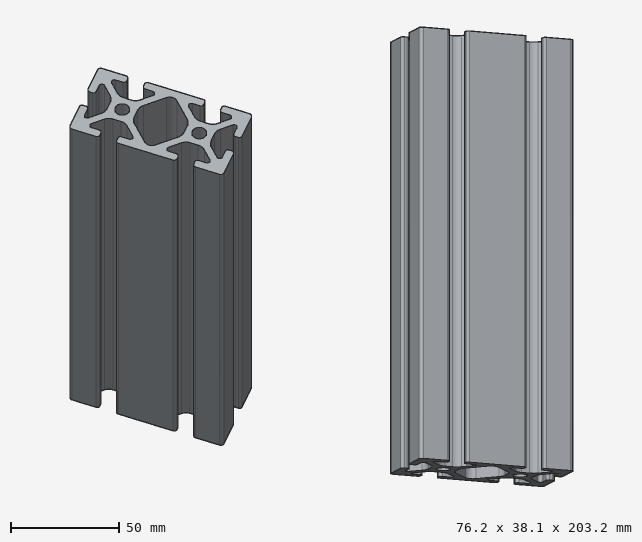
import cadquery as cq
import math

LENGTH = 203.2
WIDTH = 76.2
CELL = WIDTH / 2
HALF_CELL = CELL / 2

SLOT_OPENING = 8.3
LIP_THICKNESS = 4.0
CORE_HALF = 6.7
WEB_THICKNESS = 3.7
BORE_DIAMETER = 6.7

OUTER_RADIUS = 1.6
LIP_RADIUS = 1.32
SLOT_END_RADIUS = 1.32
CORE_RADIUS = 5.3
VOID_END_RADIUS = 3.7

MOUTH_OVERHANG = 4.0

WEB_OFFSET = WEB_THICKNESS / 2 * math.sqrt(2)
LIP_BACK = HALF_CELL - LIP_THICKNESS
CELL_CENTERS_X = (-HALF_CELL, HALF_CELL)


def round_edges(solid, half_x, y, radius):
    """Round the two upright edges of a solid at (-half_x, y) and (half_x, y)."""
    margin = 0.02
    for x in (-half_x, half_x):
        near_edge = cq.selectors.BoxSelector(
            (x - margin, y - margin, 0), (x + margin, y + margin, LENGTH)
        )
        solid = solid.edges("|Z").edges(near_edge).fillet(radius)
    return solid


def make_bar():
    bar = cq.Workplane("XY").rect(WIDTH, CELL).extrude(LENGTH)
    return bar.edges("|Z").fillet(OUTER_RADIUS)


def make_slot():
    """Cutter for one T-slot that opens towards +Y, with its cell centre at the origin.

    It flares outside the bar, so that rounding its edges also rounds the lips.
    """
    floor_half = CORE_HALF - WEB_OFFSET
    pocket_half = LIP_BACK - WEB_OFFSET
    mouth_half = SLOT_OPENING / 2
    flare_half = mouth_half + MOUTH_OVERHANG
    cutter_top = HALF_CELL + MOUTH_OVERHANG
    outline = [
        (floor_half, CORE_HALF),
        (pocket_half, LIP_BACK),
        (mouth_half, LIP_BACK),
        (mouth_half, HALF_CELL),
        (flare_half, HALF_CELL),
        (flare_half, cutter_top),
    ]
    mirrored = [(-x, y) for x, y in reversed(outline)]
    slot = cq.Workplane("XY").polyline(outline + mirrored).close().extrude(LENGTH)
    slot = round_edges(slot, floor_half, CORE_HALF, CORE_RADIUS)
    slot = round_edges(slot, pocket_half, LIP_BACK, SLOT_END_RADIUS)
    for lip_edge in (LIP_BACK, HALF_CELL):
        slot = round_edges(slot, mouth_half, lip_edge, LIP_RADIUS)
    return slot


def make_void():
    """Cutter for the central void: a diamond with flattened sides."""
    point = HALF_CELL - WEB_OFFSET
    side = HALF_CELL - CORE_HALF
    side_half = point - side
    void = (
        cq.Workplane("XY")
        .polyline([
            (side, -side_half),
            (side, side_half),
            (0, point),
            (-side, side_half),
            (-side, -side_half),
            (0, -point),
        ])
        .close()
        .extrude(LENGTH)
    )
    void = void.edges("|Z").edges("<Y or >Y").fillet(VOID_END_RADIUS)
    for y in (-side_half, side_half):
        void = round_edges(void, side, y, CORE_RADIUS)
    return void


def cut_slots(bar):
    """Cut two slots in each wide face and one in each narrow face."""
    slot = make_slot()
    placements = [(x, turn) for x in CELL_CENTERS_X for turn in (0, 180)]
    placements += [(-HALF_CELL, 90), (HALF_CELL, -90)]
    for center_x, turn in placements:
        bar = bar.cut(slot.rotate((0, 0, 0), (0, 0, 1), turn).translate((center_x, 0, 0)))
    return bar


def make_bores():
    centers = [(x, 0) for x in CELL_CENTERS_X]
    return cq.Workplane("XY").pushPoints(centers).circle(BORE_DIAMETER / 2).extrude(LENGTH)


result = cut_slots(make_bar()).cut(make_void()).cut(make_bores())